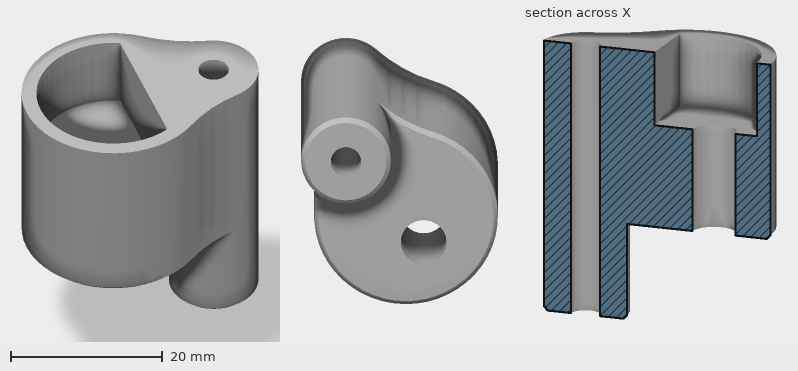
import cadquery as cq
import math

total_height = 37.0
body_height = 23.98
body_radius = 12.1
lug_radius = 5.9
length = 32.0
blend_radius = 19.98
chamfer = 0.6
pocket_radius = 10.15
pocket_flat_y = 4.2
pocket_depth = 10.0
drain_diameter = 6.0
drain_y = -4.1
lug_hole_diameter = 4.0

lug_y = length - body_radius - lug_radius
pin_length = total_height - body_height


def tangent_points():
    """Right-hand points where the concave blend meets the body and the lug, and its middle point."""
    to_body = body_radius + blend_radius
    to_lug = lug_radius + blend_radius
    center_y = (to_body**2 - to_lug**2 + lug_y**2) / (2 * lug_y)
    center_x = math.sqrt(to_body**2 - center_y**2)
    on_body = (center_x * body_radius / to_body, center_y * body_radius / to_body)
    on_lug = (
        center_x * lug_radius / to_lug,
        lug_y + (center_y - lug_y) * lug_radius / to_lug,
    )
    chord_x = (on_body[0] + on_lug[0]) / 2 - center_x
    chord_y = (on_body[1] + on_lug[1]) / 2 - center_y
    reach = blend_radius / math.hypot(chord_x, chord_y)
    middle = (center_x + chord_x * reach, center_y + chord_y * reach)
    return on_body, middle, on_lug


def mirrored(point):
    return (-point[0], point[1])


def make_body():
    """Round cup and lug joined by concave flanks, chamfered around the underside."""
    on_body, middle, on_lug = tangent_points()
    outline = (
        cq.Workplane("XY")
        .moveTo(*on_body)
        .threePointArc(middle, on_lug)
        .threePointArc((0, lug_y + lug_radius), mirrored(on_lug))
        .threePointArc(mirrored(middle), mirrored(on_body))
        .threePointArc((0, -body_radius), on_body)
        .close()
    )
    return outline.extrude(body_height).faces("<Z").chamfer(chamfer)


def make_pin():
    """Full-height pin under the lug, chamfered at its free end."""
    return (
        cq.Workplane("XY", origin=(0, lug_y, -pin_length))
        .circle(lug_radius)
        .extrude(total_height)
        .faces("<Z")
        .chamfer(chamfer)
    )


def make_pocket():
    """Round pocket cut off by a flat wall on the lug side."""
    half_flat = math.sqrt(pocket_radius**2 - pocket_flat_y**2)
    return (
        cq.Workplane("XY", origin=(0, 0, body_height - pocket_depth))
        .moveTo(half_flat, pocket_flat_y)
        .lineTo(-half_flat, pocket_flat_y)
        .threePointArc((0, -pocket_radius), (half_flat, pocket_flat_y))
        .close()
        .extrude(pocket_depth)
    )


def make_through_hole(diameter, y):
    return (
        cq.Workplane("XY", origin=(0, y, -pin_length))
        .circle(diameter / 2)
        .extrude(total_height)
    )


result = (
    make_body()
    .union(make_pin())
    .cut(make_pocket())
    .cut(make_through_hole(drain_diameter, drain_y))
    .cut(make_through_hole(lug_hole_diameter, lug_y))
)